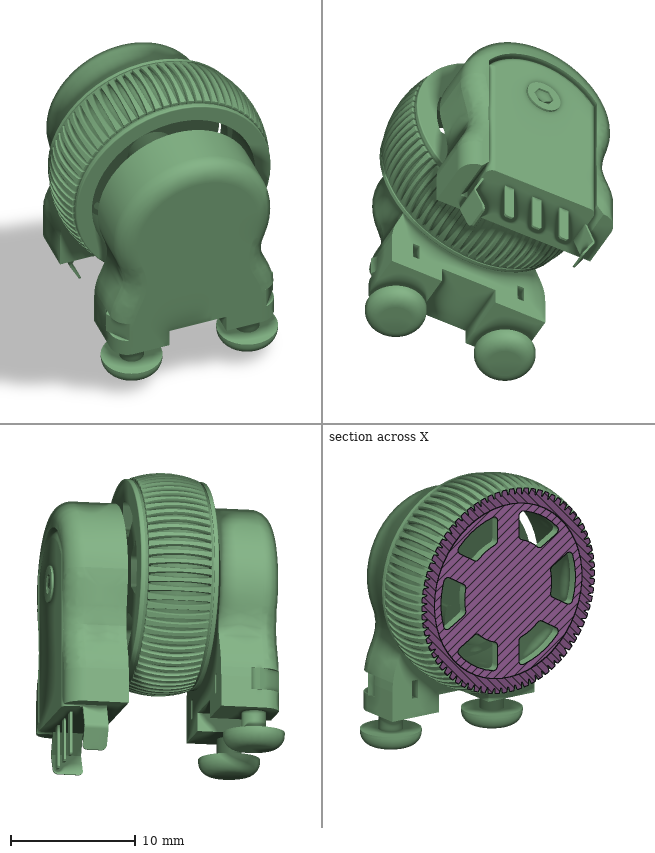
import cadquery as cq
import math


RIM_R = 8.41
RIM_HALF_W = 3.2
RIM_EDGE_FILLET = 0.1
RIM_FLANGE_W = 0.35
RIM_SHOULDER_R = 8.3
TYRE_R = 18.0 / 2
TYRE_SHOULDER_R = 8.53
TYRE_SEAT_R = 7.3
TYRE_HALF_W = 2.6
RIB_COUNT = 74
RIB_TIP_SHARE = 0.35
RIB_ROOT_DEPTH = 0.95
GROOVE_DEPTH = 0.29
GROOVE_END_STEP = 0.2
WEB_T = 1.37
CAVITY_R = 7.05
WINDOW_R_OUT = 6.62
WINDOW_R_IN = 4.31
WINDOW_CORNER_R = 0.35
SPOKE_COUNT = 6
SPOKE_W = 2.13
AXLE_R = 2.001
HEX_ACROSS_FLATS = 1.5
HUB_INSIDE_L = 1.45

HOUSING_W = 5.0
HOUSING_R = 6.74
HOUSING_FILLET = 1.49
LEFT_X = -8.96
LEFT_CENTRE_Z = -0.35
LEFT_BOTTOM_Z = -11.45
LEFT_NECK = (6.02, -4.91)
FOOT_HALF_W = 7.02
LEFT_FOOT_TOP_Z = -8.73

BRACKET_HALF_W = 4.94
BRACKET_TOP_Z = 3.95
BRACKET_CORNER_Z = 1.3
BRACKET_BEND_R = 0.62
BRACKET_DEPTH = 3.65
SHEET_T = 0.2
POCKET_GAP = 0.25
FLARE_HALF_W = 5.55
FLARE_TOP_Z = -10.7
CLIP_KNEE_Y = 5.68
CLIP_KNEE_Z = -13.15
CLIP_KNEE_FILLET = 0.48
CLIP_TIP_Y = 4.75
CLIP_TIP_Z = -14.93
CLIP_TIP_CORNER_R = 0.38
CLIP_W = {1: 2.45, -1: 1.97}

ENCODER_FILLET = 0.58
BOSS_R = 1.498
BOSS_PROUD = 0.2
SOCKET_DEPTH = 0.34
AXLE_END_DEPTH = 0.17
PIN_COUNT = 3
PIN_PITCH = 2.5
PIN_W = 0.81
PIN_T = 0.2
PIN_X = -7.93
OVERALL_H = 23.97
PIN_END_Z = TYRE_R - OVERALL_H
PIN_CHAMFER = 0.15

RIGHT_X = 3.65
RIGHT_R = 6.7
RIGHT_BOTTOM_Z = -11.35
RIGHT_ARC_END_DROP = 2.47
RIGHT_NECK = (5.9, -4.31)
RIGHT_FOOT_TOP_Z = -8.87
NOTCH_HALF_W = 2.45

BASE_TOP_Z = -8.1
BASE_STEP_Z = -9.88
BASE_UPPER_X = 6.14
BASE_LOWER_X = 5.47
TAB_PEAK_X = 6.78
TAB_END_X = 8.63
TAB_PEAK_Y = 7.21
TAB_ROOT_Y = 5.27
TAB_START_Y = 6.75
TAB_END_Y = 5.9
SLOT_Y = 4.8
SLOT_W = 0.6
SLOT_DEPTH = 0.95
SLOT_BOTTOM_Z = -9.83
SLOT_TOP_Z = -8.25

CRADLE_Z = -3.02
CRADLE_R = 3.16
CRADLE_BORE_R = 2.61
CRADLE_TIP_Z = -1.85
CRADLE_REACH = 1.45
CRADLE_TIP_FILLET = 0.2

FOOT_X = 6.74
FOOT_Y = 4.99
FOOT_STEM_R = 0.995
FOOT_HEAD_R = 2.5
FOOT_HEAD_TOP_Z = -13.02
FOOT_HEAD_H = 1.35
FOOT_HEAD_FILLET = 1.13


def cylinder_x(radius, x_start, x_end, z=0.0):
    return cq.Workplane("YZ", origin=(x_start, 0, z)).circle(radius).extrude(x_end - x_start)


def box(x_start, x_end, y_start, y_end, z_start, z_end):
    return cq.Workplane("XY").box(
        x_end - x_start, y_end - y_start, z_end - z_start, centered=False
    ).translate((x_start, y_start, z_start))


def hex_prism(x_start, x_end, z, vertex_down):
    across_corners = HEX_ACROSS_FLATS / math.cos(math.pi / 6)
    prism = cq.Workplane("YZ").polygon(6, across_corners).extrude(x_end - x_start)
    if vertex_down:
        prism = prism.rotate((0, 0, 0), (1, 0, 0), 30)
    return prism.translate((x_start, 0, z))



def crowned_disc(drop, half_width):
    """Disc with a crowned rim, lowered by `drop` and filling the tyre seat radius inwards."""
    return (
        cq.Workplane("XY")
        .moveTo(-half_width, TYRE_SEAT_R)
        .lineTo(-half_width, TYRE_SHOULDER_R - drop)
        .threePointArc((0, TYRE_R - drop), (half_width, TYRE_SHOULDER_R - drop))
        .lineTo(half_width, TYRE_SEAT_R)
        .close()
        .revolve(360, (0, 0, 0), (1, 0, 0))
    )


def make_tyre():
    core = crowned_disc(GROOVE_DEPTH, TYRE_HALF_W - GROOVE_END_STEP)
    pitch = 2 * math.pi / RIB_COUNT
    root_r = TYRE_R - RIB_ROOT_DEPTH
    tip_half = RIB_TIP_SHARE * pitch / 2
    tip_r = TYRE_R / math.cos(tip_half)
    star = []
    for i in range(RIB_COUNT):
        for r, angle in ((root_r, -pitch / 2), (tip_r, -tip_half), (tip_r, tip_half)):
            star.append((r * math.cos(i * pitch + angle), r * math.sin(i * pitch + angle)))
    ribs = cq.Workplane("YZ", origin=(-TYRE_HALF_W, 0, 0)).polyline(star).close().extrude(2 * TYRE_HALF_W)
    return core.union(crowned_disc(0, TYRE_HALF_W).intersect(ribs))


def make_windows():
    x_start = -RIM_HALF_W
    ring = cylinder_x(WINDOW_R_OUT, x_start, x_start + WEB_T).cut(
        cylinder_x(WINDOW_R_IN, x_start, x_start + WEB_T)
    )
    for i in range(SPOKE_COUNT // 2):
        spoke = box(x_start, x_start + WEB_T, -SPOKE_W / 2, SPOKE_W / 2, -RIM_R, RIM_R)
        ring = ring.cut(spoke.rotate((0, 0, 0), (1, 0, 0), i * 360 / SPOKE_COUNT))
    return ring.edges("|X").fillet(WINDOW_CORNER_R)


def make_axle(x_start):
    """Round axle on the encoder side, ending in a hexagon inside the encoder."""
    hex_end = LEFT_X - BOSS_PROUD + AXLE_END_DEPTH
    return cylinder_x(AXLE_R, x_start, -RIM_HALF_W + WEB_T + HUB_INSIDE_L).union(
        hex_prism(hex_end, x_start, 0, vertex_down=True)
    )


def make_wheel():
    rim = cylinder_x(RIM_R, -RIM_HALF_W, RIM_HALF_W).edges().fillet(RIM_EDGE_FILLET)
    flange_x = RIM_HALF_W - RIM_FLANGE_W
    shoulder = cylinder_x(RIM_R, -flange_x, flange_x).cut(cylinder_x(RIM_SHOULDER_R, -flange_x, flange_x))
    seat = cylinder_x(RIM_R, -TYRE_HALF_W, TYRE_HALF_W).cut(
        cylinder_x(TYRE_SEAT_R, -TYRE_HALF_W, TYRE_HALF_W)
    )
    cavity = cylinder_x(CAVITY_R, -RIM_HALF_W + WEB_T, RIM_HALF_W)
    wheel = rim.cut(shoulder).cut(seat).cut(cavity).cut(make_windows())
    return wheel.union(make_axle(LEFT_X + BRACKET_DEPTH))



def left_housing_block():
    outline = (
        cq.Workplane("YZ", origin=(LEFT_X, 0, 0))
        .moveTo(0, LEFT_BOTTOM_Z)
        .lineTo(FOOT_HALF_W, LEFT_BOTTOM_Z)
        .lineTo(FOOT_HALF_W, LEFT_FOOT_TOP_Z)
        .spline([LEFT_NECK], tangents=[(0, 1), (0, 1)], includeCurrent=True)
        .spline([(HOUSING_R, LEFT_CENTRE_Z)], tangents=[(0, 1), (0, 1)], includeCurrent=True)
        .radiusArc((0, LEFT_CENTRE_Z + HOUSING_R), -HOUSING_R)
        .mirrorY()
    )
    block = outline.extrude(HOUSING_W)
    return block.faces("<X").edges("not <Z").fillet(HOUSING_FILLET)


def bracket_block(inset, x_start):
    """Arched block as deep as the bracket, smaller all round by `inset`."""
    half_w = BRACKET_HALF_W - inset
    corner_z = BRACKET_CORNER_Z - inset
    return (
        cq.Workplane("YZ", origin=(x_start, 0, 0))
        .moveTo(-half_w, LEFT_BOTTOM_Z)
        .lineTo(half_w, LEFT_BOTTOM_Z)
        .lineTo(half_w, corner_z)
        .threePointArc((0, BRACKET_TOP_Z - inset), (-half_w, corner_z))
        .close()
        .extrude(LEFT_X + BRACKET_DEPTH - x_start)
    )


def encoder_block():
    return bracket_block(SHEET_T, LEFT_X + SHEET_T).faces("<X").edges("not <Z").fillet(ENCODER_FILLET)


def encoder_boss():
    return cylinder_x(BOSS_R, LEFT_X - BOSS_PROUD, LEFT_X + SHEET_T, LEFT_CENTRE_Z)


def make_left_housing():
    pocket = bracket_block(0, LEFT_X)
    pocket = pocket.union(pocket.translate((0, 0, POCKET_GAP)))
    flare = (
        cq.Workplane("YZ", origin=(LEFT_X, 0, 0))
        .moveTo(-FLARE_HALF_W, LEFT_BOTTOM_Z)
        .lineTo(-BRACKET_HALF_W, FLARE_TOP_Z)
        .lineTo(BRACKET_HALF_W, FLARE_TOP_Z)
        .lineTo(FLARE_HALF_W, LEFT_BOTTOM_Z)
        .close()
        .extrude(BRACKET_DEPTH)
    )
    return (
        left_housing_block()
        .cut(pocket)
        .cut(flare)
        .cut(cylinder_x(AXLE_R, LEFT_X + BRACKET_DEPTH, LEFT_X + HOUSING_W))
    )


def make_clip(side):
    """Spring leg bent outwards and back, continuing one flange of the bracket."""
    root_y = BRACKET_HALF_W
    leg = (
        cq.Workplane("YZ", origin=(LEFT_X + BRACKET_DEPTH, 0, 0))
        .moveTo(root_y - SHEET_T, LEFT_BOTTOM_Z)
        .lineTo(root_y, LEFT_BOTTOM_Z)
        .lineTo(CLIP_KNEE_Y, CLIP_KNEE_Z)
        .lineTo(CLIP_TIP_Y, CLIP_TIP_Z)
        .lineTo(CLIP_TIP_Y - SHEET_T, CLIP_TIP_Z)
        .lineTo(CLIP_KNEE_Y - SHEET_T, CLIP_KNEE_Z)
        .close()
        .extrude(-CLIP_W[side])
    )
    leg = leg.edges("|X").edges(">Y").fillet(CLIP_KNEE_FILLET)
    x_end = LEFT_X + BRACKET_DEPTH
    rounded_blank = box(x_end - CLIP_W[side], x_end, 0, FOOT_HALF_W, CLIP_TIP_Z, LEFT_BOTTOM_Z)
    leg = leg.intersect(rounded_blank.faces("<Z").edges("|Y").fillet(CLIP_TIP_CORNER_R))
    if side < 0:
        leg = leg.mirror("XZ")
    return leg


def make_bracket():
    outer = bracket_block(0, LEFT_X).faces("<X").edges("not <Z").fillet(BRACKET_BEND_R)
    bracket = outer.cut(encoder_block()).cut(encoder_boss())
    for side in (1, -1):
        bracket = bracket.union(make_clip(side))
    return bracket


def make_encoder():
    encoder = encoder_block().union(encoder_boss())
    for i in range(PIN_COUNT):
        middle_y = (i - (PIN_COUNT - 1) / 2) * PIN_PITCH
        pin = box(PIN_X, PIN_X + PIN_T, middle_y - PIN_W / 2, middle_y + PIN_W / 2, PIN_END_Z, LEFT_BOTTOM_Z)
        encoder = encoder.union(pin.faces("<Z").edges("|X").chamfer(PIN_CHAMFER))
    socket_start = LEFT_X - BOSS_PROUD
    socket = hex_prism(socket_start, socket_start + SOCKET_DEPTH, LEFT_CENTRE_Z, vertex_down=False)
    return encoder.cut(socket).cut(make_axle(LEFT_X + BRACKET_DEPTH))



def right_housing_block():
    """Outer shape of the bearing-side housing with its base, notched between the feet."""
    arc_y = math.sqrt(RIGHT_R**2 - RIGHT_ARC_END_DROP**2)
    arc_z = LEFT_CENTRE_Z - RIGHT_ARC_END_DROP
    slope_y = RIGHT_ARC_END_DROP / RIGHT_R
    slope_z = arc_y / RIGHT_R
    neck_y, neck_z = RIGHT_NECK
    top_z = LEFT_CENTRE_Z + RIGHT_R
    outline = (
        cq.Workplane("YZ", origin=(RIGHT_X, 0, 0))
        .moveTo(-FOOT_HALF_W, RIGHT_BOTTOM_Z)
        .lineTo(FOOT_HALF_W, RIGHT_BOTTOM_Z)
        .lineTo(FOOT_HALF_W, RIGHT_FOOT_TOP_Z)
        .spline([(neck_y, neck_z), (arc_y, arc_z)], tangents=[(0, 1), (slope_y, slope_z)], includeCurrent=True)
        .radiusArc((0, top_z), -RIGHT_R)
        .radiusArc((-arc_y, arc_z), -RIGHT_R)
        .spline(
            [(-neck_y, neck_z), (-FOOT_HALF_W, RIGHT_FOOT_TOP_Z)],
            tangents=[(slope_y, -slope_z), (0, -1)],
            includeCurrent=True,
        )
        .close()
    )
    block = outline.extrude(HOUSING_W).faces(">X").edges("not <Z").fillet(HOUSING_FILLET)
    notch = box(RIGHT_X, RIGHT_X + HOUSING_W, -NOTCH_HALF_W, NOTCH_HALF_W, RIGHT_BOTTOM_Z, BASE_STEP_Z)
    return block.cut(notch)


def base_room():
    """Stepped space at the foot of the housing that the base fills."""
    upper = box(RIGHT_X, BASE_UPPER_X, -FOOT_HALF_W, FOOT_HALF_W, BASE_STEP_Z, BASE_TOP_Z)
    lower = box(RIGHT_X, BASE_LOWER_X, -FOOT_HALF_W, FOOT_HALF_W, RIGHT_BOTTOM_Z, BASE_STEP_Z)
    return upper.union(lower)


def make_tab(side):
    """Snap hook on the `side` end of the base, ramped both ways from its peak."""
    return (
        cq.Workplane("XY", origin=(0, 0, BASE_STEP_Z))
        .moveTo(BASE_UPPER_X, side * TAB_ROOT_Y)
        .lineTo(BASE_UPPER_X, side * TAB_START_Y)
        .lineTo(TAB_PEAK_X, side * TAB_PEAK_Y)
        .lineTo(TAB_END_X, side * TAB_END_Y)
        .lineTo(TAB_END_X, side * TAB_ROOT_Y)
        .close()
        .extrude(BASE_TOP_Z - BASE_STEP_Z)
    )


def make_tab_window(side):
    """Window through the housing wall for the tab, from the base to the tab's far end."""
    ys = sorted((side * TAB_ROOT_Y, side * TAB_PEAK_Y))
    return box(BASE_UPPER_X, TAB_END_X, *ys, BASE_STEP_Z, BASE_TOP_Z)


def make_cradle():
    """Upward-open half ring that reaches from the housing into the wheel."""
    x_start = RIM_HALF_W - CRADLE_REACH
    ring = cylinder_x(CRADLE_R, x_start, RIGHT_X, CRADLE_Z)
    bore = cylinder_x(CRADLE_BORE_R, x_start, RIGHT_X, CRADLE_Z)
    opening = box(x_start, RIGHT_X, -CRADLE_R, CRADLE_R, CRADLE_TIP_Z, CRADLE_Z + CRADLE_R)
    return ring.cut(bore).cut(opening).faces(">Z").edges("|X").fillet(CRADLE_TIP_FILLET)


def make_base():
    base = right_housing_block().intersect(base_room())
    for side in (1, -1):
        y_start = side * SLOT_Y - SLOT_W / 2
        slot = box(RIGHT_X, RIGHT_X + SLOT_DEPTH, y_start, y_start + SLOT_W, SLOT_BOTTOM_Z, SLOT_TOP_Z)
        base = base.union(make_tab(side)).cut(slot)
    return base


def make_right_housing():
    housing = right_housing_block().cut(base_room())
    for side in (1, -1):
        housing = housing.cut(make_tab_window(side))
    return housing.union(make_cradle())


def make_foot(side):
    stem = cq.Workplane("XY", origin=(FOOT_X, side * FOOT_Y, FOOT_HEAD_TOP_Z)).circle(FOOT_STEM_R)
    stem = stem.extrude(RIGHT_BOTTOM_Z - FOOT_HEAD_TOP_Z)
    head = cq.Workplane("XY", origin=(FOOT_X, side * FOOT_Y, FOOT_HEAD_TOP_Z)).circle(FOOT_HEAD_R)
    head = head.extrude(-FOOT_HEAD_H).faces("<Z").edges().fillet(FOOT_HEAD_FILLET)
    return head.union(stem)


wheel = make_wheel()
tyre = make_tyre()
left_housing = make_left_housing()
bracket = make_bracket()
encoder = make_encoder()
right_housing = make_right_housing()
base = make_base()
feet = [make_foot(side) for side in (1, -1)]

bodies = [wheel, tyre, left_housing, bracket, encoder, right_housing, base, *feet]
result = cq.Compound.makeCompound([solid for body in bodies for solid in body.solids().vals()])